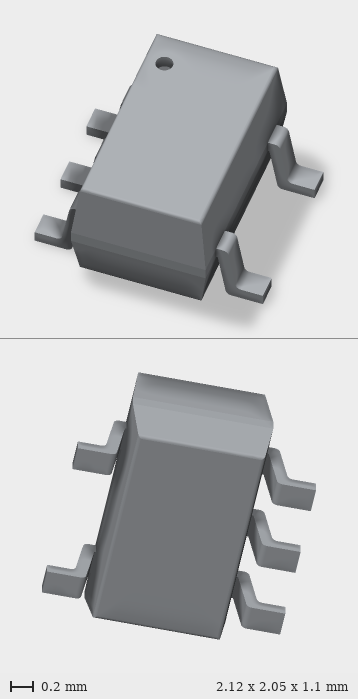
import cadquery as cq
import math

lead_span = 2.12
body_width = 1.25
body_length = 2.05
body_bottom = 0.05
body_top = 1.1

draft_inset = 0.064
housing_edge_radius = 0.03
marker_diameter = 0.157
marker_depth = 0.127
marker_from_left = 0.25
marker_from_back = 0.375

lead_thickness = 0.11
lead_width = 0.22
lead_pitch = 0.65
lead_top = 0.565
lead_lean = math.radians(10)
leg_gap = 0.015
bend_radius = 0.05

lead_underside = lead_top - lead_thickness
left_side_rows = (-1, 0, 1)
right_side_rows = (-1, 1)


def tapered_half(parting_z, end_z):
    """Half of the housing, narrowing from a parting level to its flat end."""
    return (
        cq.Workplane("XY", origin=(0, 0, parting_z))
        .rect(body_width, body_length)
        .workplane(offset=end_z - parting_z)
        .rect(body_width - 2 * draft_inset, body_length - 2 * draft_inset)
        .loft(ruled=True)
    )


def make_housing():
    """Housing with a straight belt level with the leads and tapers above and below it."""
    belt = (
        cq.Workplane("XY", origin=(0, 0, lead_underside))
        .rect(body_width, body_length)
        .extrude(lead_thickness)
    )
    housing = (
        belt.union(tapered_half(lead_top, body_top))
        .union(tapered_half(lead_underside, body_bottom))
    )
    housing = housing.faces(">Z or <Z").edges().fillet(housing_edge_radius)

    marker = (
        cq.Workplane("XY", origin=(0, 0, body_top))
        .center(marker_from_left - body_width / 2, body_length / 2 - marker_from_back)
        .circle(marker_diameter / 2)
        .extrude(-marker_depth)
    )
    return housing.cut(marker)


def make_lead(row, side):
    """Lead in a pitch row, on the left (side = -1) or right (side = 1) of the housing."""
    root_x = body_width / 2
    slope = math.tan(lead_lean)
    inner_top_x = root_x + leg_gap
    heel_x = inner_top_x + lead_underside * slope
    outer_offset = lead_thickness / math.cos(lead_lean)
    shoulder_x = inner_top_x + outer_offset - lead_thickness * slope
    instep_x = heel_x + outer_offset - lead_thickness * slope

    shoulder = (shoulder_x, lead_top)
    instep = (instep_x, lead_thickness)
    heel = (heel_x, 0)
    outline = [
        (root_x, lead_top),
        shoulder,
        instep,
        (lead_span / 2, lead_thickness),
        (lead_span / 2, 0),
        heel,
        (inner_top_x, lead_underside),
        (root_x, lead_underside),
    ]
    lead = (
        cq.Workplane("XZ", origin=(0, row * lead_pitch, 0))
        .polyline(outline)
        .close()
        .extrude(lead_width / 2, both=True)
    )
    for x, z in (shoulder, instep, heel):
        bend_edge = cq.selectors.NearestToPointSelector((x, row * lead_pitch, z))
        lead = lead.edges(bend_edge).fillet(bend_radius)
    if side < 0:
        lead = lead.mirror("YZ")
    return lead


housing = make_housing()

leads = []
for side, rows in ((-1, left_side_rows), (1, right_side_rows)):
    for row in rows:
        leads.append(make_lead(row, side).val())

result = cq.Compound.makeCompound([housing.val(), *leads])